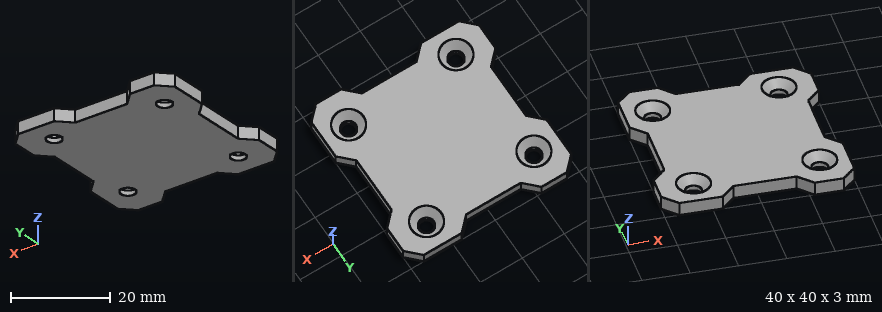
import cadquery as cq

side = 40.0
thickness = 3.0
half = side / 2

step = 3.0
recess_long_end = 11.0
recess_short_end = 8.0
inner = half - step

hole_diameter = 3.4
sink_diameter = 7.0
sink_angle = 90.0
hole_far = 14.0
hole_near = hole_far - thickness / 2

quarter_turns = 4


def quarter_turn(point, turns):
    """Rotate a point clockwise about the plate centre by quarter turns."""
    x, y = point
    for _ in range(turns):
        x, y = y, -x
    return x, y


def plate():
    """Square plate with chamfered corners and the same recess on every side."""
    top_edge = [
        (-inner, half),
        (-recess_long_end, half),
        (-recess_long_end + step, inner),
        (recess_short_end - step, inner),
        (recess_short_end, half),
        (inner, half),
    ]
    outline = [quarter_turn(p, n) for n in range(quarter_turns) for p in top_edge]
    return cq.Workplane("XY").polyline(outline).close().extrude(thickness)


def drill_corners(body):
    """Countersink a through hole from the top face at each corner."""
    centers = [quarter_turn((hole_near, hole_far), n) for n in range(quarter_turns)]
    top = cq.Workplane("XY", origin=(0, 0, thickness))
    hole_points = body.copyWorkplane(top).pushPoints(centers)
    return hole_points.cskHole(hole_diameter, sink_diameter, sink_angle)


result = drill_corners(plate())